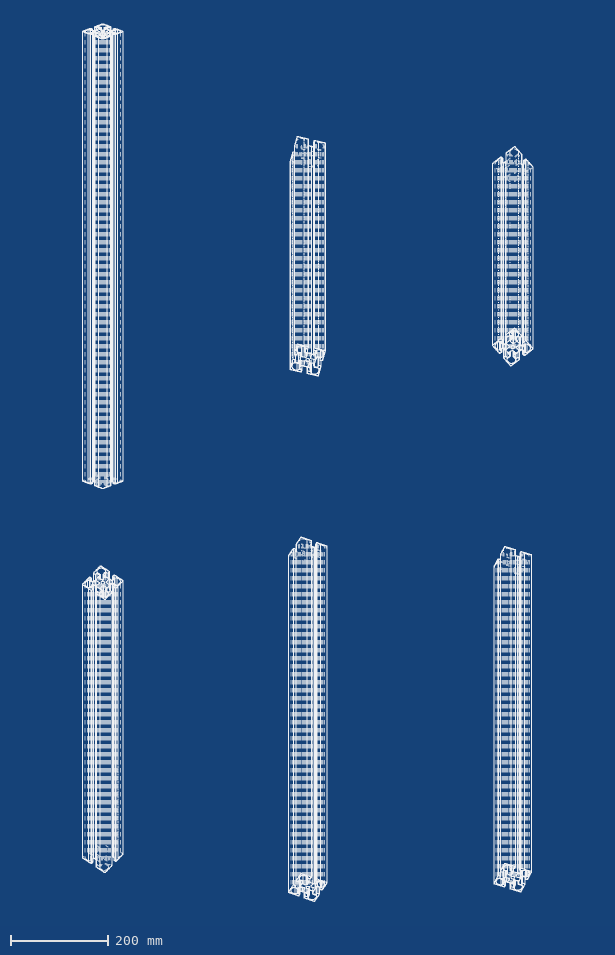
import cadquery as cq
import math

WIDTH = 60.0
LENGTH = 1000.0
CORNER_RADIUS = 1.0

SLOT_OPENING = 12.0
SLOT_MOUTH_CHAMFER = 0.5
LIP_THICKNESS = 5.7
SLOT_INNER_WIDTH = 22.0
SLOT_SIDE_DEPTH = 13.5
SLOT_CENTRE_DEPTH = 14.5
SLOT_FLAT_WIDTH = 4.0

OUTER_WALL = 2.0
SLOT_SIDE_WALL = 1.5
SLOT_FLOOR_WALL = 1.0
RIB_WIDTH = 9.3

CAVITY_CORNER_RADIUS = 7.75
CAVITY_LIP_CHAMFER = 2.75
CAVITY_SHOULDER = 16.5
CAVITY_THROAT = 8.0
CAVITY_CORE_CHAMFER = 0.6

CORE_HOLE_DIAMETER = 7.0

HALF = WIDTH / 2
QUARTER_TURNS = 4


def mirror_x(point):
    return (-point[0], point[1])


def mirror_diagonal(point):
    return (point[1], point[0])


def half_and_mirror(points, mirror):
    """The points followed by their mirror images in reverse order."""
    return points + [mirror(point) for point in reversed(points)]


def quarter_copy(tool, turn):
    return tool.rotate((0, 0, 0), (0, 0, 1), turn * 360 / QUARTER_TURNS)


def make_bar():
    """Square bar with rounded long edges."""
    bar = cq.Workplane("XY").rect(WIDTH, WIDTH).extrude(LENGTH)
    return bar.edges("|Z").fillet(CORNER_RADIUS)


def make_slot():
    """T-slot on the +Y side, with a chamfered mouth and a floor that dips towards its centre."""
    mouth = SLOT_OPENING / 2
    inner = SLOT_INNER_WIDTH / 2
    half_outline = [
        (mouth + SLOT_MOUTH_CHAMFER, HALF),
        (mouth, HALF - SLOT_MOUTH_CHAMFER),
        (mouth, HALF - LIP_THICKNESS),
        (inner, HALF - LIP_THICKNESS),
        (inner, HALF - SLOT_SIDE_DEPTH),
        (SLOT_FLAT_WIDTH / 2, HALF - SLOT_CENTRE_DEPTH),
    ]
    outline = half_and_mirror(half_outline, mirror_x)
    return cq.Workplane("XY").polyline(outline).close().extrude(LENGTH)


def make_cavity():
    """Hollow in the +X +Y quarter, symmetric about the diagonal."""
    outer = HALF - OUTER_WALL
    side = SLOT_INNER_WIDTH / 2 + SLOT_SIDE_WALL
    floor_back = HALF - SLOT_CENTRE_DEPTH - SLOT_FLOOR_WALL
    rib_face = RIB_WIDTH / 2

    arc_centre = outer - CAVITY_CORNER_RADIUS
    arc_middle = arc_centre + CAVITY_CORNER_RADIUS * math.sqrt(0.5)
    arc_start = (outer, arc_centre)
    arc_end = (arc_centre, outer)

    half_outline = [
        (side + CAVITY_LIP_CHAMFER, outer),
        (side, outer - CAVITY_LIP_CHAMFER),
        (side, CAVITY_SHOULDER),
        (CAVITY_THROAT, floor_back),
        (rib_face, floor_back),
        (rib_face, rib_face + CAVITY_CORE_CHAMFER),
    ]
    corner = cq.Workplane("XY").moveTo(*arc_start).threePointArc((arc_middle, arc_middle), arc_end)
    walls = half_and_mirror(half_outline, mirror_diagonal)
    return corner.polyline(walls, includeCurrent=True).close().extrude(LENGTH)


def make_core_hole():
    return cq.Workplane("XY").circle(CORE_HOLE_DIAMETER / 2).extrude(LENGTH)


profile = make_bar()
slot = make_slot()
cavity = make_cavity()
for turn in range(QUARTER_TURNS):
    profile = profile.cut(quarter_copy(slot, turn))
    profile = profile.cut(quarter_copy(cavity, turn))

result = profile.cut(make_core_hole()).solids()